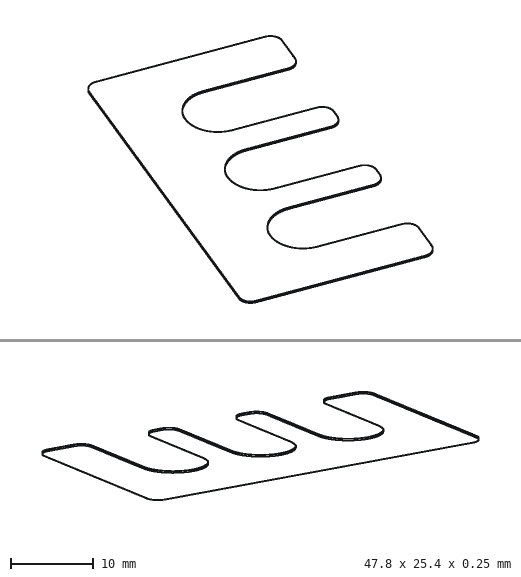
import cadquery as cq

length = 47.75
width = 25.4
thickness = 0.25
corner_radius = 1.55

slot_count = 3
slot_width = 8.55
slot_pitch = 12.7
slot_depth = 17.0


def slot_cutter(center_x):
    """Slot of full depth: a round end with a straight run to the +Y edge."""
    end_radius = slot_width / 2
    straight_run = slot_depth - end_radius
    edge_y = width / 2
    end_center_y = edge_y - straight_run
    straight = cq.Workplane("XY").box(slot_width, straight_run, thickness, centered=(True, False, True))
    round_end = cq.Workplane("XY").circle(end_radius).extrude(thickness / 2, both=True)
    return straight.union(round_end).translate((center_x, end_center_y, 0))


plate = cq.Workplane("XY").box(length, width, thickness)
for index in range(slot_count):
    plate = plate.cut(slot_cutter((index - (slot_count - 1) / 2) * slot_pitch))

tip_corners = plate.faces(">Y").edges("|Z")
base_corners = plate.faces("<Y").edges("|Z")
result = plate.newObject(tip_corners.vals() + base_corners.vals()).fillet(corner_radius)